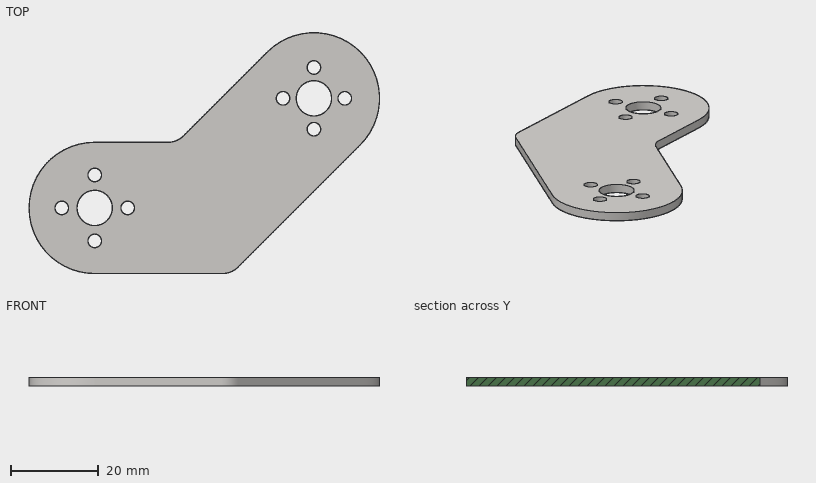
import cadquery as cq
import math

overall_length = 79.95
thickness = 2.0
end_spacing_x = 50.0
end_spacing_y = end_spacing_x / 2
bend_angle = 45.0
elbow_radius = 4.95

center_hole_diameter = 8.0
screw_hole_diameter = 3.0
screw_count = 4
near_screw_circle_radius = 7.5
far_screw_circle_radius = 7.0

end_radius = (overall_length - end_spacing_x) / 2
near_center = (0.0, 0.0)
far_center = (end_spacing_x, end_spacing_y)


def far_end_point(angle):
    """Point on the rounded far end, at an angle in degrees from +X."""
    direction = math.radians(angle)
    return (
        far_center[0] + end_radius * math.cos(direction),
        far_center[1] + end_radius * math.sin(direction),
    )


def make_plate():
    """Bent arm of constant width with round ends and rounded elbows."""
    elbow_x = end_spacing_x - end_spacing_y / math.tan(math.radians(bend_angle))
    elbow_shift = end_radius * math.tan(math.radians(bend_angle / 2))
    plate = (
        cq.Workplane("XY")
        .moveTo(0, -end_radius)
        .lineTo(elbow_x + elbow_shift, -end_radius)
        .lineTo(*far_end_point(bend_angle - 90))
        .threePointArc(far_end_point(bend_angle), far_end_point(bend_angle + 90))
        .lineTo(elbow_x - elbow_shift, end_radius)
        .lineTo(0, end_radius)
        .threePointArc((-end_radius, 0), (0, -end_radius))
        .close()
        .extrude(thickness)
    )
    elbow_edges = cq.selectors.BoxSelector(
        (elbow_x - end_radius, -2 * end_radius, 0),
        (elbow_x + end_radius, 2 * end_radius, thickness),
    )
    return plate.edges("|Z").edges(elbow_edges).fillet(elbow_radius)


def cut_hole_pattern(plate, center, screw_circle_radius):
    """Cut a center hole and its ring of screw holes through the plate."""
    pattern = cq.Workplane("XY").center(*center)
    center_hole = pattern.circle(center_hole_diameter / 2).extrude(thickness)
    screw_holes = (
        pattern.polarArray(screw_circle_radius, 0, 360, screw_count)
        .circle(screw_hole_diameter / 2)
        .extrude(thickness)
    )
    return plate.cut(center_hole).cut(screw_holes)


result = make_plate()
result = cut_hole_pattern(result, near_center, near_screw_circle_radius)
result = cut_hole_pattern(result, far_center, far_screw_circle_radius)